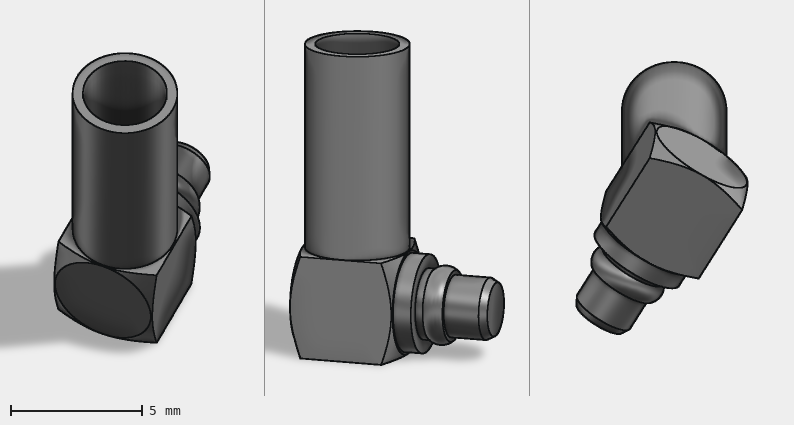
import cadquery as cq

block_width = 4.1
block_height = 4.0
block_face_diameter = 4.0
block_corner_setback = 0.43

overall_height = 12.0
tube_diameter = 4.0
bore_diameter = 3.2

plug_base_diameter = 2.7
plug_top_diameter = 2.2
plug_height = 0.43

collar_diameter = 3.8
neck_diameter = 2.75
bead_diameter = 3.05
pin_diameter = 2.4
pin_tip_diameter = 2.08
collar_length = 0.71
neck_length = 0.3
bead_length = 0.79
pin_length = 1.69
pin_tip_length = 0.3

half_width = block_width / 2
axis_height = block_height / 2


def revolve_about_y(profile):
    """Turn a closed (radius, Y) profile around the horizontal spigot axis."""
    solid = profile.close().revolve(360, (0, 0, 0), (0, 1, 0))
    return solid.translate((0, 0, axis_height))


def make_block():
    """Square block whose corners are trimmed by a cone at each Y end."""
    block = cq.Workplane("XY").box(block_width, block_width, block_height, centered=(True, True, False))
    face_radius = block_face_diameter / 2
    corner_radius = (half_width**2 + axis_height**2) ** 0.5
    setback_y = half_width - block_corner_setback
    envelope = (
        cq.Workplane("XY")
        .moveTo(0, -half_width)
        .lineTo(face_radius, -half_width)
        .lineTo(corner_radius, -setback_y)
        .lineTo(corner_radius, setback_y)
        .lineTo(face_radius, half_width)
        .lineTo(0, half_width)
    )
    return block.intersect(revolve_about_y(envelope))


def make_tube():
    """Tube from the block's top face up to the full height."""
    return (
        cq.Workplane("XY", origin=(0, 0, block_height))
        .circle(tube_diameter / 2)
        .circle(bore_diameter / 2)
        .extrude(overall_height - block_height)
    )


def make_plug():
    """Low cone on the floor of the bore."""
    return (
        cq.Workplane("XY", origin=(0, 0, block_height))
        .circle(plug_base_diameter / 2)
        .workplane(offset=plug_height)
        .circle(plug_top_diameter / 2)
        .loft()
    )


def make_spigot():
    """Collar, neck, rounded snap bead and chamfered pin."""
    collar_end = half_width + collar_length
    neck_end = collar_end + neck_length
    bead_end = neck_end + bead_length
    pin_end = bead_end + pin_length
    profile = (
        cq.Workplane("XY")
        .moveTo(0, half_width)
        .lineTo(collar_diameter / 2, half_width)
        .lineTo(collar_diameter / 2, collar_end)
        .lineTo(neck_diameter / 2, collar_end)
        .lineTo(neck_diameter / 2, neck_end)
        .threePointArc(
            (bead_diameter / 2, (neck_end + bead_end) / 2),
            (neck_diameter / 2, bead_end),
        )
        .lineTo(pin_diameter / 2, bead_end)
        .lineTo(pin_diameter / 2, pin_end - pin_tip_length)
        .lineTo(pin_tip_diameter / 2, pin_end)
        .lineTo(0, pin_end)
    )
    return revolve_about_y(profile)


result = make_block().union(make_tube()).union(make_plug()).union(make_spigot())